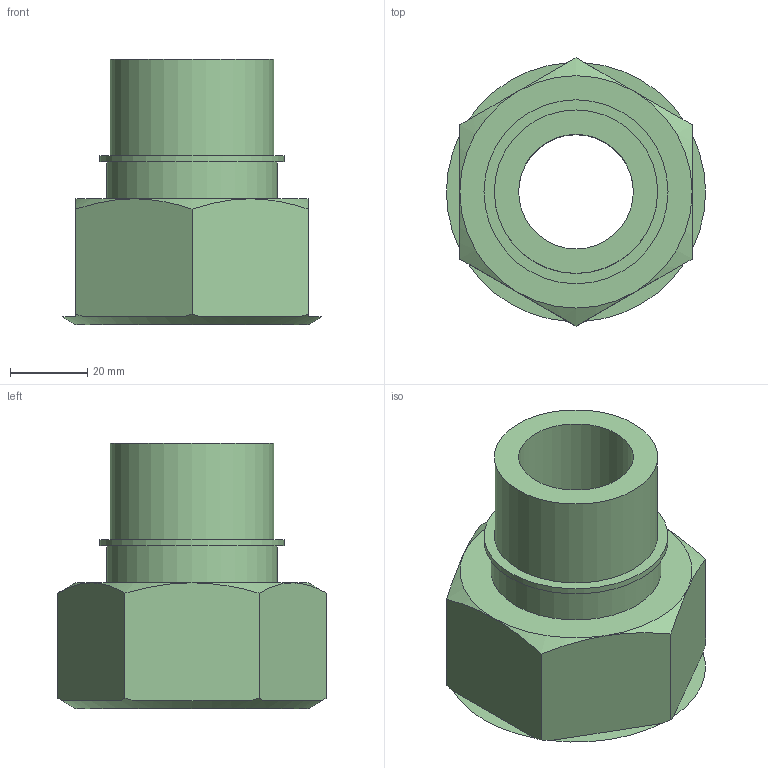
import cadquery as cq
import math

total_height = 68.5
nut_height = 32.5
collar_bottom = 42.0
collar_height = 1.6

bore_diameter = 29.6
tube_diameter = 42.2
neck_diameter = 44.0
collar_diameter = 47.52
across_flats = 60.0
skirt_height = 2.0

chamfer_angle = 30.0
chamfer_slope = math.tan(math.radians(chamfer_angle))
hexagon_half_side_angle = math.radians(180 / 6)
flat_radius = across_flats / 2
corner_radius = flat_radius / math.cos(hexagon_half_side_angle)
chamfer_height = (corner_radius - flat_radius) * chamfer_slope
skirt_radius = flat_radius + skirt_height / chamfer_slope


def cylinder(diameter, bottom, top):
    """Upright cylinder on the Z axis between two heights."""
    return cq.Workplane("XY").workplane(offset=bottom).circle(diameter / 2).extrude(top - bottom)


def revolve_profile(points):
    """Solid of revolution about Z from (radius, height) points."""
    return cq.Workplane("XZ").polyline(points).close().revolve(360, (0, 0, 0), (0, 1, 0))


def make_nut():
    """Hexagon with corners on the Y axis and a round skirt, under one pair of chamfer cones."""
    hexagon = (
        cq.Workplane("XY")
        .polygon(6, 2 * corner_radius)
        .extrude(nut_height)
        .rotate((0, 0, 0), (0, 0, 1), 90)
    )
    skirt = cylinder(2 * skirt_radius, 0, skirt_height)
    chamfer_envelope = revolve_profile([
        (0, 0),
        (flat_radius, 0),
        (corner_radius, chamfer_height),
        (corner_radius, nut_height - chamfer_height),
        (flat_radius, nut_height),
        (0, nut_height),
    ])
    return hexagon.union(skirt).intersect(chamfer_envelope)


def make_spigot():
    """Neck, thin collar and tube rising out of the nut."""
    collar_top = collar_bottom + collar_height
    neck = cylinder(neck_diameter, 0, collar_bottom)
    collar = cylinder(collar_diameter, collar_bottom, collar_top)
    tube = cylinder(tube_diameter, collar_top, total_height)
    return neck.union(collar).union(tube)


bore = cylinder(bore_diameter, 0, total_height)
result = make_nut().union(make_spigot()).cut(bore)